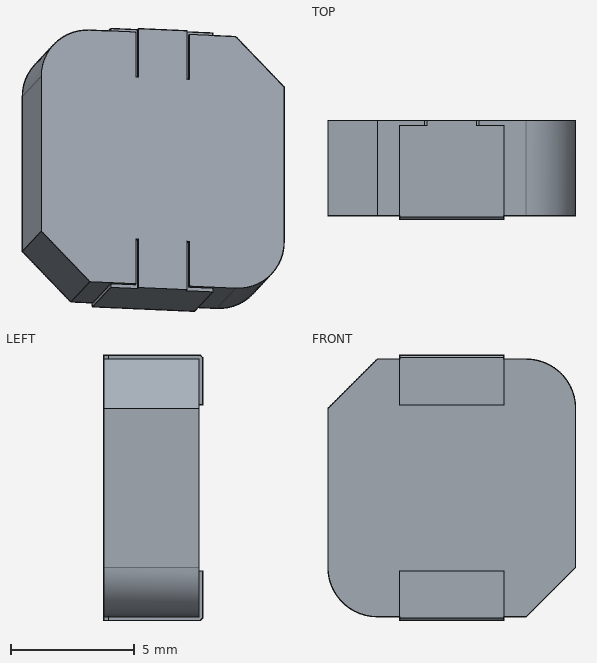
import cadquery as cq

BODY_WIDTH = 10.0
BODY_HEIGHT = 10.4
BODY_DEPTH = 3.85
CORNER_SIZE = 2.0

TERMINAL_WIDTH = 4.2
TERMINAL_HEIGHT = 2.0
SHEET_THICKNESS = 0.15
BEND_CHAMFER = 0.1

LEG_WIDTH = 2.0
LEG_THICKNESS = 0.2
SLOT_CLEARANCE = 0.1

HALF_WIDTH = BODY_WIDTH / 2
HALF_HEIGHT = BODY_HEIGHT / 2
TERMINAL_TOP = HALF_HEIGHT + SHEET_THICKNESS
PAD_FRONT = -(BODY_DEPTH + SHEET_THICKNESS)
PAD_END = TERMINAL_TOP - TERMINAL_HEIGHT
SLOT_WIDTH = LEG_WIDTH + 2 * SLOT_CLEARANCE


def centred_block(width, y_front, y_back, z_bottom, z_top):
    """Box centred on X = 0 that spans the given Y and Z limits."""
    return cq.Workplane("XY").box(
        width, y_back - y_front, z_top - z_bottom, centered=(True, False, False)
    ).translate((0, y_front, z_bottom))


def both_ends(shape):
    """The shape at the top end together with its mirror image at the bottom end."""
    return [shape, shape.mirror("XY")]


def make_body():
    """Block with two opposite corners cut at 45 degrees and the other two rounded."""
    outline = (
        cq.Workplane("XZ")
        .moveTo(-HALF_WIDTH + CORNER_SIZE, HALF_HEIGHT)
        .lineTo(HALF_WIDTH - CORNER_SIZE, HALF_HEIGHT)
        .radiusArc((HALF_WIDTH, HALF_HEIGHT - CORNER_SIZE), CORNER_SIZE)
        .lineTo(HALF_WIDTH, -HALF_HEIGHT + CORNER_SIZE)
        .lineTo(HALF_WIDTH - CORNER_SIZE, -HALF_HEIGHT)
        .lineTo(-HALF_WIDTH + CORNER_SIZE, -HALF_HEIGHT)
        .radiusArc((-HALF_WIDTH, -HALF_HEIGHT + CORNER_SIZE), CORNER_SIZE)
        .lineTo(-HALF_WIDTH, HALF_HEIGHT - CORNER_SIZE)
        .close()
    )
    return outline.extrude(BODY_DEPTH)


def make_slot():
    """Blind slot in the back face that receives the folded leg."""
    return centred_block(SLOT_WIDTH, -LEG_THICKNESS, 0, PAD_END, HALF_HEIGHT)


def make_terminal():
    """Top terminal: front pad, plate over the body edge and leg in the slot."""
    wrap = centred_block(TERMINAL_WIDTH, PAD_FRONT, -LEG_THICKNESS, PAD_END, TERMINAL_TOP)
    wrap = wrap.edges("|X and >Z and <Y").chamfer(BEND_CHAMFER)
    wrap = wrap.cut(centred_block(TERMINAL_WIDTH, -BODY_DEPTH, 0, PAD_END, HALF_HEIGHT))
    leg = centred_block(LEG_WIDTH, -LEG_THICKNESS, 0, PAD_END, TERMINAL_TOP)
    return wrap.union(leg)


result = make_body()
for slot in both_ends(make_slot()):
    result = result.cut(slot)
for terminal in both_ends(make_terminal()):
    result = result.union(terminal)